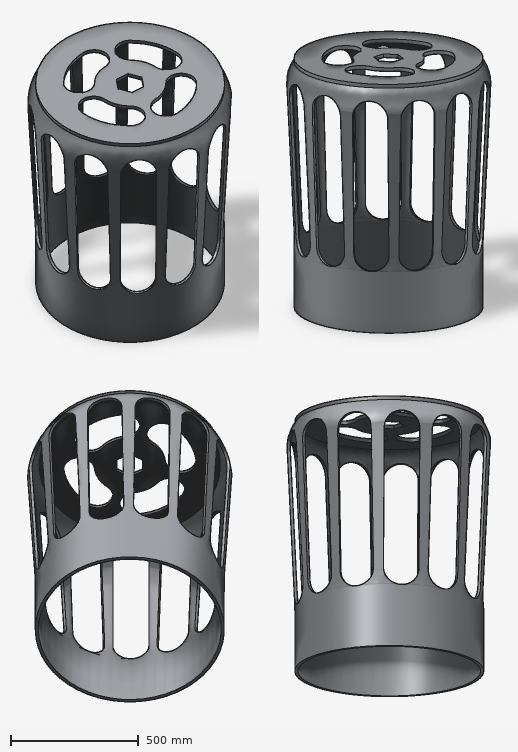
import cadquery as cq
import math

TOTAL_HEIGHT = 1015.0
TUBE_DIAMETER = 740.0
BORE_DIAMETER = 716.0

PLATE_THICKNESS = 15.0
HEX_SIDES = 6
HEX_CORNER_DIAMETER = 116.0
WINDOW_COUNT = 4
WINDOW_PATH_RADIUS = 200.0
WINDOW_WIDTH = 121.0
WINDOW_SPAN = 45.0

TUBE_HEIGHT = 249.0
BEND_RADIUS = 518.0
FLARE_ANGLE = math.radians(2.7)
CONE_TOP = 902.0

SLOT_COUNT = 13
SLOT_WIDTH = 140.0
SLOT_BOTTOM = 250.0
SLOT_TOP = 951.0

TUBE_RADIUS = TUBE_DIAMETER / 2
WALL = (TUBE_DIAMETER - BORE_DIAMETER) / 2
CAGE_HEIGHT = TOTAL_HEIGHT - PLATE_THICKNESS
BEND_CENTRE = (TUBE_RADIUS + BEND_RADIUS, TUBE_HEIGHT)


def point_on_circle(centre, radius, angle):
    return (centre[0] + radius * math.cos(angle), centre[1] + radius * math.sin(angle))


def bend_point(depth, angle):
    """Point of the bend, at a depth into the wall, after turning through an angle."""
    return point_on_circle(BEND_CENTRE, BEND_RADIUS + depth, math.pi - angle)


def shoulder_circle():
    """Circle tangent to the top of the outer cone that ends at the rim of the end plate."""
    bend_end = bend_point(0, FLARE_ANGLE)
    cone_end = (bend_end[0] + (CONE_TOP - bend_end[1]) * math.tan(FLARE_ANGLE), CONE_TOP)
    inward = (-math.cos(FLARE_ANGLE), math.sin(FLARE_ANGLE))
    chord = (TUBE_RADIUS - cone_end[0], CAGE_HEIGHT - cone_end[1])
    chord_inward = chord[0] * inward[0] + chord[1] * inward[1]
    radius = (chord[0] ** 2 + chord[1] ** 2) / (2 * chord_inward)
    centre = (cone_end[0] + radius * inward[0], cone_end[1] + radius * inward[1])
    return centre, radius


def wall_section(depth):
    """Points of the wall's face at a depth below the outer face, from the bottom up."""
    centre, outer_radius = shoulder_circle()
    radius = outer_radius - depth
    start_angle = -FLARE_ANGLE
    end_angle = math.asin((CAGE_HEIGHT - centre[1]) / radius)
    return {
        "foot": (TUBE_RADIUS - depth, 0),
        "tube_end": bend_point(depth, 0),
        "bend_middle": bend_point(depth, FLARE_ANGLE / 2),
        "bend_end": bend_point(depth, FLARE_ANGLE),
        "cone_end": point_on_circle(centre, radius, start_angle),
        "shoulder_middle": point_on_circle(centre, radius, (start_angle + end_angle) / 2),
        "rim": point_on_circle(centre, radius, end_angle),
    }


def make_wall():
    outer = wall_section(0)
    inner = wall_section(WALL)
    return (
        cq.Workplane("XZ")
        .moveTo(*outer["foot"])
        .lineTo(*outer["tube_end"])
        .threePointArc(outer["bend_middle"], outer["bend_end"])
        .lineTo(*outer["cone_end"])
        .threePointArc(outer["shoulder_middle"], outer["rim"])
        .lineTo(*inner["rim"])
        .threePointArc(inner["shoulder_middle"], inner["cone_end"])
        .lineTo(*inner["bend_end"])
        .threePointArc(inner["bend_middle"], inner["tube_end"])
        .lineTo(*inner["foot"])
        .close()
        .revolve(360, (0, 0, 0), (0, 1, 0))
    )


def make_slot_cutter():
    """Upright round-ended bar that reaches from the axis out through the -Y side of the wall."""
    slot_height = SLOT_TOP - SLOT_BOTTOM
    return (
        cq.Workplane("XZ")
        .center(0, (SLOT_TOP + SLOT_BOTTOM) / 2)
        .slot2D(slot_height, SLOT_WIDTH, 90)
        .extrude(TUBE_DIAMETER)
    )


def make_cage():
    cage = make_wall()
    cutter = make_slot_cutter()
    for i in range(SLOT_COUNT):
        cage = cage.cut(cutter.rotate((0, 0, 0), (0, 0, 1), i * 360 / SLOT_COUNT))
    return cage


def make_window_cutter():
    """Curved slot around the axis, centred on the +X side."""
    half_span = math.radians(WINDOW_SPAN / 2)
    inner_radius = WINDOW_PATH_RADIUS - WINDOW_WIDTH / 2
    outer_radius = WINDOW_PATH_RADIUS + WINDOW_WIDTH / 2
    end_bulge = math.atan(WINDOW_WIDTH / 2 / WINDOW_PATH_RADIUS)
    end_radius = math.hypot(WINDOW_PATH_RADIUS, WINDOW_WIDTH / 2)
    end_angle = half_span + end_bulge

    def polar(radius, angle):
        return point_on_circle((0, 0), radius, angle)

    return (
        cq.Workplane("XY", origin=(0, 0, CAGE_HEIGHT))
        .moveTo(*polar(inner_radius, -half_span))
        .threePointArc(polar(inner_radius, 0), polar(inner_radius, half_span))
        .threePointArc(polar(end_radius, end_angle), polar(outer_radius, half_span))
        .threePointArc(polar(outer_radius, 0), polar(outer_radius, -half_span))
        .threePointArc(polar(end_radius, -end_angle), polar(inner_radius, -half_span))
        .close()
        .extrude(PLATE_THICKNESS)
    )


def make_end_plate():
    plate = (
        cq.Workplane("XY", origin=(0, 0, CAGE_HEIGHT))
        .circle(TUBE_RADIUS)
        .polygon(HEX_SIDES, HEX_CORNER_DIAMETER)
        .extrude(PLATE_THICKNESS)
    )
    cutter = make_window_cutter()
    for i in range(WINDOW_COUNT):
        plate = plate.cut(cutter.rotate((0, 0, 0), (0, 0, 1), i * 360 / WINDOW_COUNT))
    return plate


cage = make_cage()
end_plate = make_end_plate()

result = cq.Compound.makeCompound([cage.val(), end_plate.val()])